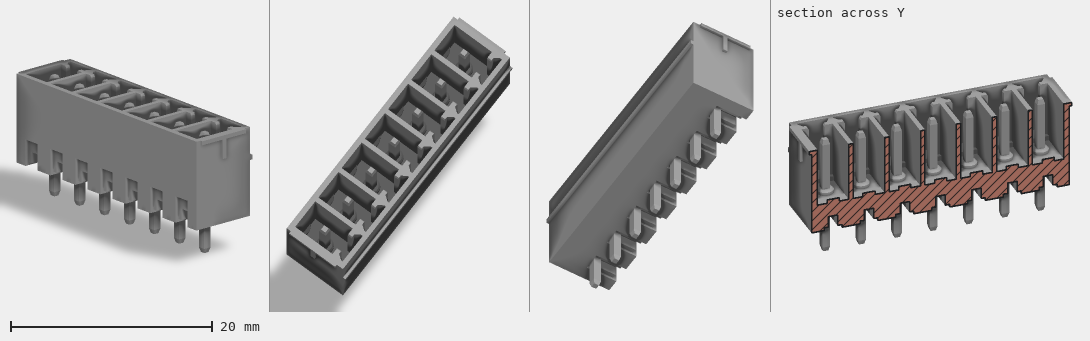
import cadquery as cq

contact_count = 7
pitch = 3.81

total_length = 27.97
guide_thickness = 0.28
body_length = total_length - 2 * guide_thickness
body_depth = 7.0
body_height = 9.31

rib_depth = 0.3
rib_height = 0.5
rib_distance_from_top = 2.96
rib_top = body_height - rib_distance_from_top

guide_front = 0.5
guide_back = 6.25
guide_bar_height = 0.42
guide_stem_center = 3.45
guide_stem_width = 0.5
guide_stem_height = 2.45

cavity_width = 3.3
cavity_front = 0.6
cavity_back = 6.5
cavity_floor = 3.08
ledge_front = 4.8
ledge_height = 0.5

tooth_front = 5.23
tooth_back = 5.73
tooth_gap = 1.68
tooth_chamfer_width = 0.1
tooth_chamfer_height = 0.22
dovetail_mouth = 2.52
dovetail_shoulder = 6.3

pin_center_y = 3.02
pin_width = 0.8
pin_bottom = -3.5
pin_distance_from_top = 0.22
pin_top = body_height - pin_distance_from_top
pin_tip_width = 0.53
pin_tip_length = 0.5

collar_diameter = 1.8
collar_height = 0.5
collar_chamfer = 0.17

bump_radius = 1.37
bump_reach = 0.34
bump_height = 0.5
bump_slope_drop = 0.25

slot_width = 1.85
slot_height = 2.77
slot_depth = 0.4
notch_width = 0.95
notch_height = 1.48
notch_back = pin_center_y + pin_width / 2
underside_recess_height = 0.3


def box(x_min, x_max, y_min, y_max, z_min, z_max):
    """Block between two opposite corners."""
    size = (x_max - x_min, y_max - y_min, z_max - z_min)
    return cq.Workplane("XY").box(*size, centered=False).translate((x_min, y_min, z_min))


def centered_box(width, y_min, y_max, z_min, z_max):
    """Block that is symmetric about X = 0."""
    return box(-width / 2, width / 2, y_min, y_max, z_min, z_max)


def make_shell():
    """Plain housing block with its back rib and end guides."""
    block = centered_box(body_length, 0, body_depth, 0, body_height)
    rib = centered_box(body_length, body_depth, body_depth + rib_depth, rib_top - rib_height, rib_top)
    guide_bar = centered_box(
        total_length, guide_front, guide_back, body_height - guide_bar_height, body_height
    )
    guide_stem = centered_box(
        total_length,
        guide_stem_center - guide_stem_width / 2,
        guide_stem_center + guide_stem_width / 2,
        body_height - guide_stem_height,
        body_height,
    )
    return block.union(rib).union(guide_bar).union(guide_stem)


def make_cavity():
    """Open-topped cavity with a dovetail at the back, a tooth gap and a raised rear ledge."""
    half_wall = cavity_width / 2
    half_mouth = dovetail_mouth / 2
    half_gap = tooth_gap / 2
    right_side = [
        (half_wall, cavity_front),
        (half_wall, tooth_front),
        (half_gap, tooth_front),
        (half_gap, tooth_back),
        (half_mouth, tooth_back),
        (half_wall, dovetail_shoulder),
        (half_wall, cavity_back),
    ]
    left_side = [(-x, y) for x, y in reversed(right_side)]
    opening = (
        cq.Workplane("XY", origin=(0, 0, cavity_floor))
        .polyline(right_side + left_side)
        .close()
        .extrude(body_height - cavity_floor)
    )
    ledge = centered_box(
        cavity_width, ledge_front, cavity_back, cavity_floor, cavity_floor + ledge_height
    )
    return opening.cut(ledge).union(make_tooth_chamfers())


def make_tooth_chamfers():
    """Flared wedge that bevels the top inner edges of both teeth."""
    half_gap = tooth_gap / 2
    chamfer_bottom = body_height - tooth_chamfer_height
    profile = [
        (-half_gap, chamfer_bottom),
        (half_gap, chamfer_bottom),
        (half_gap + tooth_chamfer_width, body_height),
        (-half_gap - tooth_chamfer_width, body_height),
    ]
    return (
        cq.Workplane("XZ", origin=(0, tooth_front, 0))
        .polyline(profile)
        .close()
        .extrude(tooth_front - tooth_back)
    )


def make_pin_tip(z_base, direction):
    """Tapered pin end that starts at z_base and points up (1) or down (-1)."""
    return (
        cq.Workplane("XY", origin=(0, pin_center_y, z_base))
        .rect(pin_width, pin_width)
        .workplane(offset=direction * pin_tip_length)
        .rect(pin_tip_width, pin_tip_width)
        .loft(combine=True)
    )


def make_pin():
    """Square pin with a tapered tip at both ends."""
    shank_bottom = pin_bottom + pin_tip_length
    shank_top = pin_top - pin_tip_length
    shank = centered_box(
        pin_width,
        pin_center_y - pin_width / 2,
        pin_center_y + pin_width / 2,
        shank_bottom,
        shank_top,
    )
    return shank.union(make_pin_tip(shank_bottom, -1)).union(make_pin_tip(shank_top, 1))


def make_collar():
    """Round collar with a chamfered rim, standing on the cavity floor."""
    return (
        cq.Workplane("XY", origin=(0, pin_center_y, cavity_floor))
        .circle(collar_diameter / 2)
        .extrude(collar_height)
        .faces(">Z")
        .chamfer(collar_chamfer)
    )


def make_bump():
    """Segment of a round post that grows out of the front wall, its top sloping down to the back."""
    bump_back = cavity_front + bump_reach
    bump_top = cavity_floor + bump_height
    post = (
        cq.Workplane("XY", origin=(0, bump_back - bump_radius, cavity_floor))
        .circle(bump_radius)
        .extrude(bump_height)
    )
    slanted_profile = [
        (cavity_front, cavity_floor),
        (bump_back, cavity_floor),
        (bump_back, bump_top - bump_slope_drop),
        (cavity_front, bump_top),
    ]
    envelope = (
        cq.Workplane("YZ").polyline(slanted_profile).close().extrude(bump_radius, both=True)
    )
    return post.intersect(envelope)


def make_pin_slot():
    """Front slot, the shallow underside recess behind it and the notch round the pin."""
    slot = centered_box(slot_width, 0, slot_depth, 0, slot_height)
    recess = centered_box(slot_width, 0, notch_back, 0, underside_recess_height)
    notch = centered_box(notch_width, 0, notch_back, 0, notch_height)
    return slot.union(recess).union(notch)


result = make_shell()
contact_positions = [(i - (contact_count - 1) / 2) * pitch for i in range(contact_count)]
cutter = make_cavity().union(make_pin_slot())
contact = make_pin().union(make_collar()).union(make_bump())
for x in contact_positions:
    result = result.cut(cutter.translate((x, 0, 0)))
    result = result.union(contact.translate((x, 0, 0)))